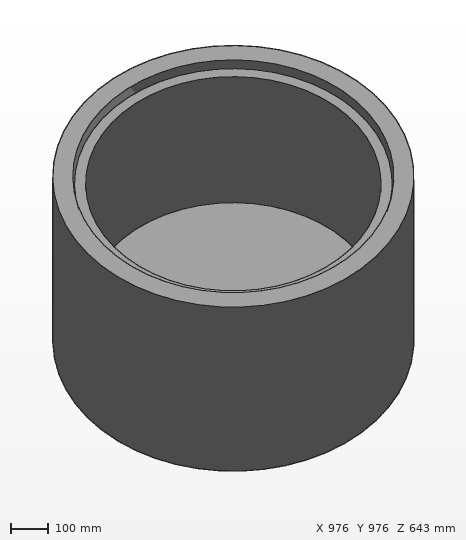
import cadquery as cq

outer_diameter = 976.0
height = 643.0
bore_diameter = 798.0
floor_thickness = 120.0
rebate_top_diameter = 868.0
rebate_bottom_diameter = 858.0
rebate_depth = 29.0

outer_radius = outer_diameter / 2
bore_radius = bore_diameter / 2
rebate_floor = height - rebate_depth

half_section = (
    cq.Workplane("XZ")
    .lineTo(outer_radius, 0)
    .lineTo(outer_radius, height)
    .lineTo(rebate_top_diameter / 2, height)
    .lineTo(rebate_bottom_diameter / 2, rebate_floor)
    .lineTo(bore_radius, rebate_floor)
    .lineTo(bore_radius, floor_thickness)
    .lineTo(0, floor_thickness)
    .close()
)

result = half_section.revolve(360, (0, 0), (0, 1))